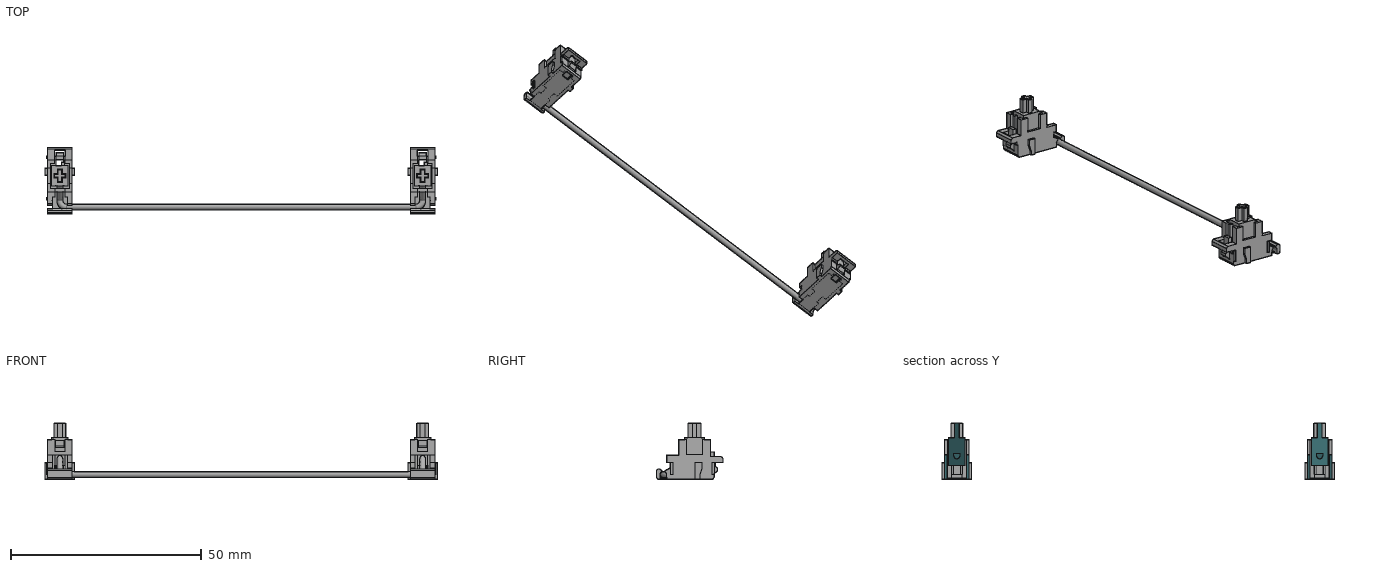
import cadquery as cq
import math

STEM_SPACING = 95.25

HOUSING_WIDTH = 6.5
FLANGE_BOTTOM = 4.4
REAR_FLANGE_TOP = 6.0
REAR_FLANGE_END = 7.5
REAR_FLANGE_CHAMFER = 0.5
FRONT_FLANGE_TOP = 6.35
FRONT_FLANGE_END = -7.3
TOWER_TOP = 10.4
TOWER_HALF_DEPTH = 4.2
BODY_REAR = 5.2
BODY_LEDGE_REAR = 5.5
BODY_LEDGE_BOTTOM = 3.5
BODY_REAR_CHAMFER_DEPTH = 0.35
BODY_REAR_CHAMFER_HEIGHT = 0.6
BODY_FRONT = -6.45

CAVITY_WIDTH = 5.0
CAVITY_HALF_DEPTH = 3.3
SIDE_SLOT_DEPTH = 4.1
SIDE_SLOT_BOTTOM = 6.5
FRONT_WINDOW_WIDTH = 2.6
FRONT_WINDOW_BOTTOM = 7.25
ARM_SLOT_WIDTH = 2.6
BEND_POCKET_WIDTH = 3.9
BEND_POCKET_REAR = -5.5
FLOOR_THICKNESS = 0.3
FLOOR_OPENING_WIDTH = 2.0
FLOOR_OPENING_FRONT = 2.5
REAR_WINDOW_WIDTH = 2.8
REAR_WINDOW_END = 6.7

LATCH_WIDTH = 2.0
LATCH_FRONT = 4.25
LATCH_TOP = 7.2
LATCH_ROOT = 1.3
HOOK_REACH = 6.1
HOOK_BOTTOM = 1.5
HOOK_LOWER_CORNER = 2.2
HOOK_UPPER_CORNER = 2.9
HOOK_TOP = 3.6

TAB_SPAN = 7.8
TAB_FRONT = 0.1
TAB_REAR = 2.0
TAB_FOOT_REAR = 1.4
TAB_TAPER_TOP = 2.9
TAB_TAPER_BOTTOM = 1.2
RIB_HEIGHT = 0.3
RIB_WIDTH = 0.6
RIB_BOTTOM = 1.3
RIB_CENTERS = (BODY_REAR - RIB_WIDTH / 2, -6.0)

WIRE_DIAMETER = 1.6
WIRE_Y = -8.2
WIRE_Z = 1.2
CORNER_RADIUS = 1.7
RISE_ANGLE = 48.0
RISE_RADIUS = 0.85
ARM_END_Y = -1.2

GROOVE_RADIUS = 0.85
LIP_TOP = 2.95
THROAT_REAR = -7.75
THROAT_FRONT = -8.6
THROAT_TOP = 2.3
CLIP_FRONT = -10.0
CLIP_TOP = 2.7
CLIP_BEVEL_END = -9.1
CLIP_CHAMFER = 0.4

STEM_WIDTH = 4.4
STEM_DEPTH = 5.3
STEM_BOTTOM = 3.6
STEM_TOP = 10.95
RECESS_WIDTH = 2.2
RECESS_DEPTH = 0.4
RECESS_TOP = 10.15
RECESS_SLOPE_TOP = 8.8
RECESS_SLOPE_BOTTOM = 8.3
GUIDE_START = 0.4
GUIDE_WIDTH = 0.85
GUIDE_REAR = 3.6
GUIDE_TOP = 10.1
CROSS_TOP = 14.8
CROSS_WIDTH = 3.2
CROSS_DEPTH = 3.5
CROSS_CHAMFER = 0.2
CROSS_ARM_ALONG_X = 1.1
CROSS_ARM_ALONG_Y = 1.3


def block(x0, x1, y0, y1, z0, z1):
    """A box given by its limits along each axis."""
    return cq.Workplane("XY").box(x1 - x0, y1 - y0, z1 - z0, centered=False).translate((x0, y0, z0))


def centered_block(width, y0, y1, z0, z1):
    """A box centered on X = 0."""
    return block(-width / 2, width / 2, y0, y1, z0, z1)


def side_profile(points, width):
    """A (Y, Z) outline extruded along X, centered on X = 0."""
    return cq.Workplane("YZ").polyline(points).close().extrude(width / 2, both=True)


def housing_blank():
    """Tower, flanges, body and clip wall in one outline, before any opening is cut."""
    return side_profile(
        [
            (CLIP_FRONT + CLIP_CHAMFER, 0),
            (BODY_REAR - BODY_REAR_CHAMFER_DEPTH, 0),
            (BODY_REAR, BODY_REAR_CHAMFER_HEIGHT),
            (BODY_REAR, BODY_LEDGE_BOTTOM),
            (BODY_LEDGE_REAR, BODY_LEDGE_BOTTOM),
            (BODY_LEDGE_REAR, FLANGE_BOTTOM),
            (REAR_FLANGE_END, FLANGE_BOTTOM),
            (REAR_FLANGE_END, REAR_FLANGE_TOP - REAR_FLANGE_CHAMFER),
            (REAR_FLANGE_END - REAR_FLANGE_CHAMFER, REAR_FLANGE_TOP),
            (TOWER_HALF_DEPTH, REAR_FLANGE_TOP),
            (TOWER_HALF_DEPTH, TOWER_TOP),
            (-TOWER_HALF_DEPTH, TOWER_TOP),
            (-TOWER_HALF_DEPTH, FRONT_FLANGE_TOP),
            (FRONT_FLANGE_END, FRONT_FLANGE_TOP),
            (FRONT_FLANGE_END, FLANGE_BOTTOM),
            (BODY_FRONT, FLANGE_BOTTOM),
            (BODY_FRONT, LIP_TOP),
            (THROAT_REAR, THROAT_TOP),
            (THROAT_FRONT, THROAT_TOP),
            (CLIP_BEVEL_END, CLIP_TOP),
            (CLIP_FRONT + CLIP_CHAMFER, CLIP_TOP),
            (CLIP_FRONT, CLIP_TOP - CLIP_CHAMFER),
            (CLIP_FRONT, CLIP_CHAMFER),
        ],
        HOUSING_WIDTH,
    )


def wire_groove():
    """Round-topped channel that holds the wire, open below, with a narrow throat above."""
    channel = (
        cq.Workplane("YZ")
        .center(WIRE_Y, WIRE_Z)
        .circle(GROOVE_RADIUS)
        .extrude(HOUSING_WIDTH / 2, both=True)
    )
    below = centered_block(HOUSING_WIDTH, WIRE_Y - GROOVE_RADIUS, WIRE_Y + GROOVE_RADIUS, 0, WIRE_Z)
    throat = centered_block(HOUSING_WIDTH, THROAT_FRONT, THROAT_REAR, WIRE_Z, THROAT_TOP)
    return channel.union(below).union(throat)


def wire_openings():
    """Pocket for the wire's bend and the narrower slot for its arm, both above a thin floor."""
    clip_inner = WIRE_Y - GROOVE_RADIUS
    pocket = centered_block(
        BEND_POCKET_WIDTH, WIRE_Y, BEND_POCKET_REAR, FLOOR_THICKNESS, FRONT_FLANGE_TOP
    )
    slot = centered_block(
        ARM_SLOT_WIDTH, BEND_POCKET_REAR, -CAVITY_HALF_DEPTH, FLOOR_THICKNESS, FRONT_FLANGE_TOP
    )
    web = centered_block(BEND_POCKET_WIDTH, clip_inner, WIRE_Y + GROOVE_RADIUS, 0, FLOOR_THICKNESS)
    return wire_groove().cut(web).union(pocket).union(slot)


def tower_openings():
    """Stem cavity with its side slots, front window and rear window."""
    cavity = centered_block(CAVITY_WIDTH, -CAVITY_HALF_DEPTH, CAVITY_HALF_DEPTH, FLOOR_THICKNESS, TOWER_TOP)
    side_slots = centered_block(
        HOUSING_WIDTH, -SIDE_SLOT_DEPTH / 2, SIDE_SLOT_DEPTH / 2, SIDE_SLOT_BOTTOM, TOWER_TOP
    )
    front_window = centered_block(
        FRONT_WINDOW_WIDTH, -TOWER_HALF_DEPTH, 0, FRONT_WINDOW_BOTTOM, TOWER_TOP
    )
    rear_slot = centered_block(REAR_WINDOW_WIDTH, 0, TOWER_HALF_DEPTH, FLOOR_THICKNESS, TOWER_TOP)
    floor_opening = centered_block(
        FLOOR_OPENING_WIDTH, FLOOR_OPENING_FRONT, TOWER_HALF_DEPTH, 0, FLOOR_THICKNESS
    )
    rear_window = centered_block(
        REAR_WINDOW_WIDTH, TOWER_HALF_DEPTH, REAR_WINDOW_END, LATCH_ROOT, TOWER_TOP
    )
    openings = cavity
    for opening in (side_slots, front_window, rear_slot, floor_opening, rear_window):
        openings = openings.union(opening)
    return openings


def latch():
    """Upright spring finger with a hook at its rear, rooted in the body's bottom."""
    return side_profile(
        [
            (LATCH_FRONT, LATCH_ROOT),
            (BODY_REAR, LATCH_ROOT),
            (BODY_REAR, HOOK_BOTTOM),
            (HOOK_REACH, HOOK_LOWER_CORNER),
            (HOOK_REACH, HOOK_UPPER_CORNER),
            (BODY_REAR, HOOK_TOP),
            (BODY_REAR, LATCH_TOP),
            (LATCH_FRONT, LATCH_TOP),
        ],
        LATCH_WIDTH,
    )


def side_tabs():
    """Tapered tabs standing out from both sides below the flange."""
    tabs = side_profile(
        [
            (TAB_FRONT, 0),
            (TAB_FOOT_REAR, 0),
            (TAB_FOOT_REAR, TAB_TAPER_BOTTOM),
            (TAB_REAR, TAB_TAPER_TOP),
            (TAB_REAR, FLANGE_BOTTOM),
            (TAB_FRONT, FLANGE_BOTTOM),
        ],
        TAB_SPAN,
    )
    return tabs.cut(centered_block(HOUSING_WIDTH, TAB_FRONT, TAB_REAR, 0, FLANGE_BOTTOM))


def left_housing():
    """Housing of the -X end, at its own origin, with the locating ribs on its -X side."""
    housing = housing_blank().cut(tower_openings()).cut(wire_openings())
    housing = housing.union(latch()).union(side_tabs())
    side = -HOUSING_WIDTH / 2
    for rib_y in RIB_CENTERS:
        rib = block(
            side - RIB_HEIGHT, side, rib_y - RIB_WIDTH / 2, rib_y + RIB_WIDTH / 2, RIB_BOTTOM, FLANGE_BOTTOM
        )
        housing = housing.union(rib)
    return housing


def wire_end():
    """Centerline of the +X end: half of the bar, the level corner, the upward bend and the rising arm."""
    angle = math.radians(RISE_ANGLE)
    end_x = STEM_SPACING / 2
    rise_y = WIRE_Y + CORNER_RADIUS
    arm_y = rise_y + RISE_RADIUS * math.sin(angle)
    arm_z = WIRE_Z + RISE_RADIUS * (1 - math.cos(angle))
    corner_inset = CORNER_RADIUS * (1 - math.sqrt(0.5))

    middle = cq.Vector(0, WIRE_Y, WIRE_Z)
    corner_start = cq.Vector(end_x - CORNER_RADIUS, WIRE_Y, WIRE_Z)
    corner_middle = cq.Vector(end_x - corner_inset, WIRE_Y + corner_inset, WIRE_Z)
    rise_start = cq.Vector(end_x, rise_y, WIRE_Z)
    rise_middle = cq.Vector(
        end_x,
        rise_y + RISE_RADIUS * math.sin(angle / 2),
        WIRE_Z + RISE_RADIUS * (1 - math.cos(angle / 2)),
    )
    arm_start = cq.Vector(end_x, arm_y, arm_z)
    arm_end = cq.Vector(end_x, ARM_END_Y, arm_z + (ARM_END_Y - arm_y) * math.tan(angle))
    return cq.Wire.assembleEdges(
        [
            cq.Edge.makeLine(middle, corner_start),
            cq.Edge.makeThreePointArc(corner_start, corner_middle, rise_start),
            cq.Edge.makeThreePointArc(rise_start, rise_middle, arm_start),
            cq.Edge.makeLine(arm_start, arm_end),
        ]
    )


def stem_wire():
    """The wire: a straight bar whose two ends turn back and rise into the stems."""
    section = cq.Workplane("YZ").center(WIRE_Y, WIRE_Z).circle(WIRE_DIAMETER / 2)
    half = section.sweep(cq.Workplane(wire_end()))
    return half.union(half.mirror("YZ")).clean()


def stem():
    """Stem at its own origin: block, keycap cross, front recess and rear guide."""
    front = -STEM_DEPTH / 2
    body = centered_block(STEM_WIDTH, front, STEM_DEPTH / 2, STEM_BOTTOM, STEM_TOP)
    recess = side_profile(
        [
            (front, RECESS_SLOPE_BOTTOM),
            (front + RECESS_DEPTH, RECESS_SLOPE_TOP),
            (front + RECESS_DEPTH, RECESS_TOP),
            (front, RECESS_TOP),
        ],
        RECESS_WIDTH,
    )
    guide = block(
        GUIDE_START, GUIDE_START + GUIDE_WIDTH, STEM_DEPTH / 2, GUIDE_REAR, STEM_BOTTOM, GUIDE_TOP
    )
    arm_x = centered_block(
        CROSS_WIDTH, -CROSS_ARM_ALONG_X / 2, CROSS_ARM_ALONG_X / 2, STEM_TOP, CROSS_TOP
    )
    arm_y = centered_block(
        CROSS_ARM_ALONG_Y, -CROSS_DEPTH / 2, CROSS_DEPTH / 2, STEM_TOP, CROSS_TOP
    )
    cross = arm_x.union(arm_y).faces(">Z").chamfer(CROSS_CHAMFER)
    return body.cut(recess).union(guide).union(cross)


wire = stem_wire()
housing_left = left_housing()
housings = [
    housing_left.translate((-STEM_SPACING / 2, 0, 0)),
    housing_left.mirror("YZ").translate((STEM_SPACING / 2, 0, 0)),
]
stems = [stem().translate((side * STEM_SPACING / 2, 0, 0)).cut(wire) for side in (-1, 1)]

bodies = housings + stems + [wire]
result = cq.Compound.makeCompound([body.val() for body in bodies])